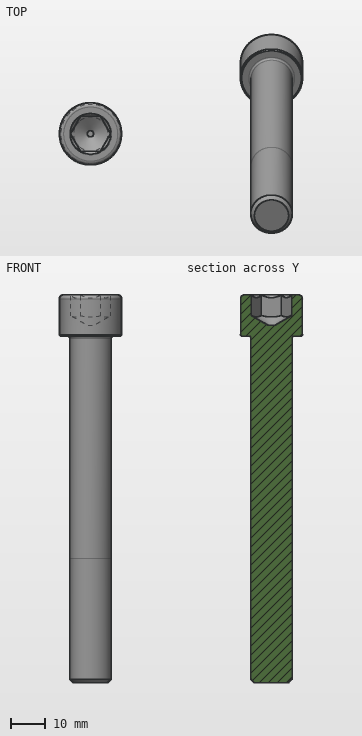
import cadquery as cq
import math

shank_diameter = 12.0
shank_length = 100.0
thread_length = 36.0
thread_root_diameter = 9.85
tip_chamfer_height = (shank_diameter - thread_root_diameter) / 2

head_diameter = 18.0
head_height = 12.0
head_top_fillet = 1.2
head_bottom_chamfer = 0.4
neck_fillet = 0.6

socket_across_flats = 10.0
socket_across_corners = socket_across_flats / math.cos(math.pi / 6)
socket_depth = 6.0
socket_mouth_diameter = 11.75
socket_mouth_angle = math.radians(45)
socket_floor_angle = math.radians(30)
socket_floor_flat_diameter = 1.8


def make_body():
    """Revolve the half profile of head and shank about the Z axis."""
    shank_radius = shank_diameter / 2
    head_radius = head_diameter / 2
    root_radius = thread_root_diameter / 2
    arc_mid = math.cos(math.pi / 4)
    neck_center_radius = shank_radius + neck_fillet
    fillet_center_radius = head_radius - head_top_fillet
    fillet_center_z = head_height - head_top_fillet

    profile = (
        cq.Workplane("XZ")
        .moveTo(0, -shank_length)
        .lineTo(root_radius, -shank_length)
        .lineTo(shank_radius, -shank_length + tip_chamfer_height)
        .lineTo(shank_radius, -shank_length + thread_length)
        .lineTo(shank_radius, -neck_fillet)
        .threePointArc(
            (neck_center_radius - neck_fillet * arc_mid, -neck_fillet * (1 - arc_mid)),
            (neck_center_radius, 0),
        )
        .lineTo(head_radius - head_bottom_chamfer, 0)
        .lineTo(head_radius, head_bottom_chamfer)
        .lineTo(head_radius, fillet_center_z)
        .threePointArc(
            (
                fillet_center_radius + head_top_fillet * arc_mid,
                fillet_center_z + head_top_fillet * arc_mid,
            ),
            (fillet_center_radius, head_height),
        )
        .lineTo(0, head_height)
        .close()
    )
    return profile.revolve(360, (0, 0, 0), (0, 1, 0), clean=False)


def make_socket():
    """Hexagonal socket with corners on the X axis and a conical floor below it."""
    corner_radius = socket_across_corners / 2
    floor_flat_radius = socket_floor_flat_diameter / 2
    floor_depth = socket_depth + (corner_radius - floor_flat_radius) * math.tan(socket_floor_angle)

    hexagon = (
        cq.Workplane("XY")
        .workplane(offset=head_height - floor_depth)
        .polygon(6, socket_across_corners)
        .extrude(floor_depth)
    )
    drilled_envelope = (
        cq.Workplane("XZ")
        .moveTo(0, head_height - floor_depth)
        .lineTo(floor_flat_radius, head_height - floor_depth)
        .lineTo(corner_radius, head_height - socket_depth)
        .lineTo(corner_radius, head_height)
        .lineTo(0, head_height)
        .close()
        .revolve(360, (0, 0, 0), (0, 1, 0))
    )
    return hexagon.intersect(drilled_envelope)


def make_socket_mouth():
    """Conical countersink that opens the socket at the top of the head."""
    mouth_radius = socket_mouth_diameter / 2
    cone_depth = mouth_radius * math.tan(socket_mouth_angle)
    return (
        cq.Workplane("XZ")
        .moveTo(0, head_height - cone_depth)
        .lineTo(mouth_radius, head_height)
        .lineTo(0, head_height)
        .close()
        .revolve(360, (0, 0, 0), (0, 1, 0))
    )


result = make_body().cut(make_socket(), clean=False).cut(make_socket_mouth(), clean=False)